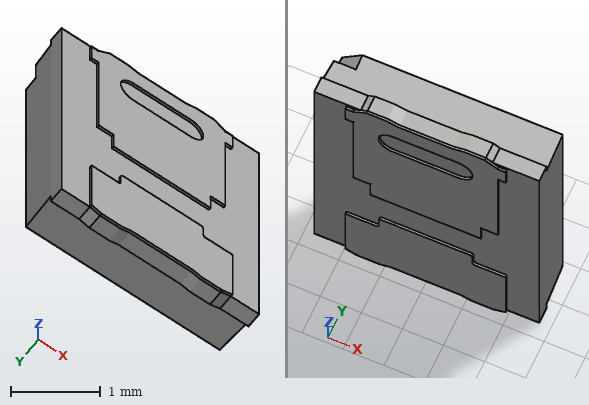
import cadquery as cq
import math


height = 3.5
width = 2.74
thickness = 0.73

plate_height = 3.402
plate_thickness = 0.2
cover_thickness = 0.5
cover_height = 3.2
cover_draft = 3.0
pad_thickness = thickness - plate_thickness - cover_thickness

mark_leg = 0.25
mark_depth = 0.2

tab_tip = height / 2
tab_valley = 1.715
plate_edge = plate_height / 2
pad_half_width = 0.975

upper_body_half = 0.88
upper_tongue_half = 0.672
upper_ear_top = 1.655
upper_ear_bottom = 1.407
upper_shoulder = 0.08
upper_bottom = -0.168
upper_tip_outer = 0.72
upper_tip_inner = 0.472
upper_valley_half = 0.325

window_length = 1.145
window_height = 0.357
window_level = 1.253

lower_tongue_half = 0.57
lower_top = -0.67
lower_shoulder = -0.865
lower_corner_radius = 0.035
lower_tip_outer = 0.835
lower_tip_inner = 0.553
lower_valley_half = 0.427

upper_tab_edge = [
    (upper_body_half, upper_ear_top),
    (upper_tip_outer, tab_tip),
    (upper_tip_inner, tab_tip),
    (upper_valley_half, tab_valley),
]
lower_tab_edge = [
    (pad_half_width, -plate_edge),
    (lower_tip_outer, -tab_tip),
    (lower_tip_inner, -tab_tip),
    (lower_valley_half, -tab_valley),
]


def symmetric_slab(half_outline, y_front, y_back):
    """Extrude the outline formed by a +X half and its mirror image between two Y levels."""
    mirrored = [(-x, z) for x, z in reversed(half_outline)]
    return (
        cq.Workplane("XZ", origin=(0, y_front, 0))
        .polyline(half_outline + mirrored)
        .close()
        .extrude(y_front - y_back)
    )


def make_cover():
    """Drafted block behind the plate, with one corner chamfered over part of its depth."""
    block = (
        cq.Workplane("XZ", origin=(0, plate_thickness, 0))
        .rect(width, cover_height)
        .extrude(-cover_thickness, taper=cover_draft)
    )
    inset = cover_thickness * math.tan(math.radians(cover_draft))
    corner_x = inset - width / 2
    corner_z = cover_height / 2 - inset
    reach = mark_leg + 2 * inset
    slope_start = (corner_x - reach, corner_z - mark_leg - reach)
    slope_end = (corner_x + mark_leg + reach, corner_z + reach)
    cutter = (
        cq.Workplane("XZ", origin=(0, plate_thickness + cover_thickness - mark_depth, 0))
        .polyline([slope_start, slope_end, (slope_start[0], slope_end[1])])
        .close()
        .extrude(-mark_depth)
    )
    return block.cut(cutter)


def make_housing():
    """Plate with tabs along its upper and lower edges, in one piece with the cover."""
    plate = cq.Workplane("XZ").rect(width, plate_height).extrude(-plate_thickness)
    upper_tabs = symmetric_slab([(upper_body_half, 0)] + upper_tab_edge, 0, plate_thickness)
    lower_tabs = symmetric_slab([(pad_half_width, 0)] + lower_tab_edge, 0, plate_thickness)
    return plate.union(upper_tabs).union(lower_tabs).union(make_cover())


def make_upper_pad():
    """Eared pad with a tongue at the bottom and a rounded window."""
    half_outline = [
        (upper_tongue_half, upper_bottom),
        (upper_tongue_half, upper_shoulder),
        (upper_body_half, upper_shoulder),
        (upper_body_half, upper_ear_bottom),
        (pad_half_width, upper_ear_bottom),
        (pad_half_width, upper_ear_top),
    ] + upper_tab_edge
    window = (
        cq.Workplane("XZ")
        .center(0, window_level)
        .slot2D(window_length, window_height)
        .extrude(pad_thickness)
    )
    return symmetric_slab(half_outline, -pad_thickness, 0).cut(window)


def make_lower_pad():
    """Pad with a tongue at the top whose outer and inner corners are rounded."""
    half_outline = [
        (lower_tongue_half, lower_top),
        (lower_tongue_half, lower_shoulder),
        (pad_half_width, lower_shoulder),
    ] + lower_tab_edge
    pad = symmetric_slab(half_outline, -pad_thickness, 0)
    selection_margin = 0.035
    tongue_zone = cq.selectors.BoxSelector(
        (-lower_tongue_half - selection_margin, -pad_thickness, lower_shoulder - selection_margin),
        (lower_tongue_half + selection_margin, 0, lower_top + selection_margin),
    )
    return pad.edges("|Y").edges(tongue_zone).fillet(lower_corner_radius)


housing = make_housing().solids()
upper_pad = make_upper_pad().solids()
lower_pad = make_lower_pad().solids()

result = cq.Compound.makeCompound([housing.val(), upper_pad.val(), lower_pad.val()])